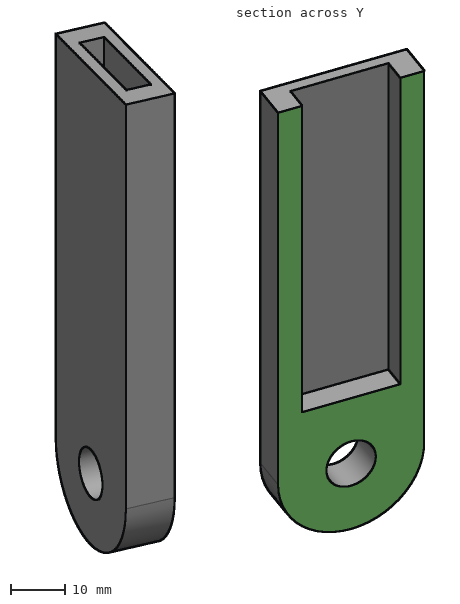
import cadquery as cq

width = 30.0
thickness = 10.0
height = 100.0

end_radius = width / 2
hole_diameter = 10.0

pocket_width = 20.0
pocket_thickness = 5.0
pocket_depth = 70.0


def make_body():
    """Flat bar with a full-round lower end; the lowest point is at Z = 0."""
    return (
        cq.Workplane("XZ")
        .moveTo(-width / 2, height)
        .lineTo(-width / 2, end_radius)
        .threePointArc((0, 0), (width / 2, end_radius))
        .lineTo(width / 2, height)
        .close()
        .extrude(thickness / 2, both=True)
    )


def make_hole():
    """Cylinder along Y, concentric with the rounded end."""
    return (
        cq.Workplane("XZ")
        .center(0, end_radius)
        .circle(hole_diameter / 2)
        .extrude(thickness / 2, both=True)
    )


def make_pocket():
    """Rectangular block reaching down from the top face."""
    return (
        cq.Workplane("XY")
        .workplane(offset=height)
        .rect(pocket_width, pocket_thickness)
        .extrude(-pocket_depth)
    )


result = make_body().cut(make_hole()).cut(make_pocket())